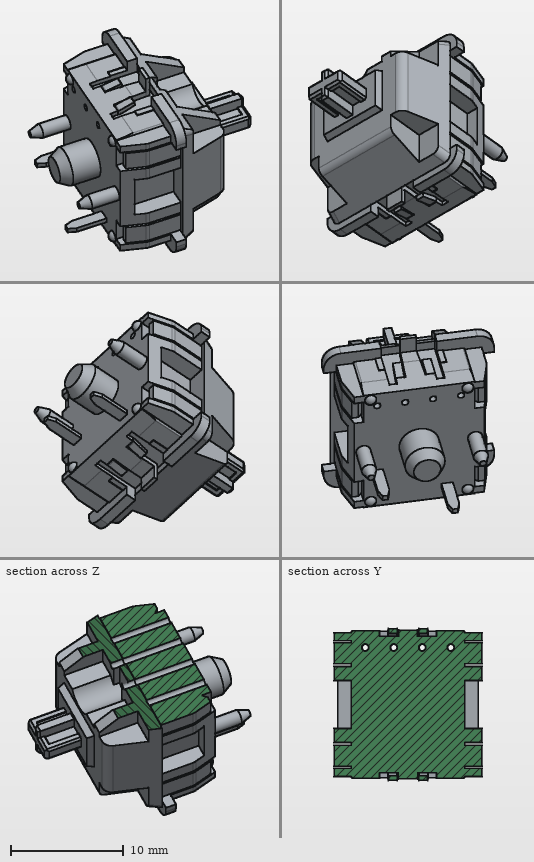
import cadquery as cq
import math


SIDE_PEG_SPACING = 10.16
GRID = SIDE_PEG_SPACING / 8

FLANGE_SIZE = 15.48
FLANGE_THICKNESS = 0.98
FLANGE_CORNER_RADIUS = 1.54
FLANGE_SIDE_GAP = 11.35

SHELL_DEPTH = 5.65
BOTTOM_Y = -SHELL_DEPTH
SHELL_HALF_WIDTH = 6.6
SHELL_BOTTOM_HALF_WIDTH = 5.9
SHELL_TAPER_Y = -3.28
SHELL_TAPER_RADIUS = 1.11
SHELL_HALF_HEIGHT = 6.41

PANEL_HALF_WIDTH = 5.06
PANEL_TOP_Z = 6.58
PANEL_BOTTOM_Z = 6.47
PANEL_SLOPE_Y = -3.93
PANEL_EDGE_RADIUS = 0.17
PANEL_SLOPE = (PANEL_TOP_Z - PANEL_BOTTOM_Z) / (PANEL_SLOPE_Y - BOTTOM_Y)

PAD_HALF_WIDTH = 3.08
PAD_TOP_Z = 6.65
PAD_END_Y = -2.63

CLIP_POCKET_HALF_WIDTH = 2.52
CLIP_POCKET_END_Y = -4.67
CLIP_FLOOR_Z = 6.1
TAB_SPAN = 16.52
TAB_TOP_Z = TAB_SPAN / 2
TAB_FRONT_Y = -0.69
TAB_BACK_Y = -0.32
FINGER_KNEE_Y = -2.02
FINGER_BASE_HALF_WIDTH = 0.89
UPPER_TAB_HALF_WIDTH = 0.72
LOWER_TAB_HALF_WIDTH = 0.89
FINGER_ROOT_HALF_WIDTH = 1.8
FINGER_SHOULDER_HALF_WIDTH = 1.78

TOOTH_BACK_Y = -2.17
TOOTH_BACK_Z = 6.53
TOOTH_ROOT_Y = -3.63
TOOTH_PEAK_Y = -2.28
TOOTH_END_Y = -3.8
TOOTH_PEAK_Z = 6.93
TOOTH_END_Z = 6.56
TOOTH_WIDTH = 0.8
TOOTH_INNER_X = 0.9
TOOTH_DRAFT = 0.1

SIDE_CUT_X = 5.06
SIDE_RECESS_HALF_HEIGHT = 2.13
SIDE_RECESS_END_Y = -4.41
CLIP_ARM_BOTTOM_Z = 3.62
CLIP_ARM_TOP_Z = 5.5
CLIP_ARM_CELL_BOTTOM_Z = 3.4
CLIP_ARM_CELL_TOP_Z = FLANGE_SIDE_GAP / 2
CLIP_ARM_END_Y = -5.15
CLIP_ARM_BEVEL = 0.39

PEG_TAPER_Y = -8.35
PEG_END_Y = -9.36
CENTRE_PEG_RADIUS = 1.82
CENTRE_PEG_TIP_RADIUS = 1.22
SIDE_PEG_X = SIDE_PEG_SPACING / 2
SIDE_PEG_RADIUS = 0.67
SIDE_PEG_TIP_RADIUS = 0.3

FOOT_RADIUS = 0.54
FOOT_X = 4.41
FOOT_Z = 5.85
FOOT_SINK = 0.11
FOOT_CENTRE_Y = BOTTOM_Y + FOOT_SINK

LAMP_HOLE_RADIUS = 0.3
LAMP_Z = 4 * GRID
INNER_LAMP_X = GRID
OUTER_LAMP_X = 3 * GRID

LID_HEIGHT = 4.97
LID_BASE_HALF = 6.97
LID_FRAME_HEIGHT = 1.2
LID_TOP_HALF_WIDTH = 5.56
LID_SIDE_RADIUS = 0.93
LID_TOP_UPPER_Z = 3.99
LID_TOP_LOWER_Z = 5.25
LID_LOWER_RADIUS = 0.7
LID_FRAME_CORNER_RADIUS = 0.7
CORE_HALF_HEIGHT = 3.41
RIB_OUTER_X = 4.32
RIB_INNER_X = 3.23
LAMP_GROOVE_RADIUS = 1.75
LAMP_GROOVE_HALF_WIDTH = 1.52
LAMP_NOTCH_WIDTH = 1.76
LAMP_NOTCH_FLOOR_Y = 0.63

COLLAR_HEIGHT = 0.69
COLLAR_BASE = (6.53, 4.56)
COLLAR_TOP = (6.15, 4.08)
STEM_TOP_Y = 9.18
ARM_LENGTH = 3.95
ARM_HALF_LENGTH = ARM_LENGTH / 2
ARM_HALF_THICKNESS = 0.7
ARM_SIDE_BEVEL = (0.19, 0.2)
ARM_END_BEVEL = (0.26, 0.35)
BLADE_HALF_WIDTH = 0.37
BLADE_HALF_HEIGHT = 1.63
TOP_BEVEL = (0.22, 0.25)
BLADE_SIDE_BEVEL = 0.2
STEM_POCKET_HALF_WIDTH = 1.35
STEM_POCKET_END_Y = 8.53
STEM_POCKET_DEPTH = 0.15

CONTACT_WIDTH = 1.04
CONTACT_TIP_WIDTH = 0.48
CONTACT_THICKNESS = 0.48
CONTACT_TAPER_Y = -8.58
CONTACT_PLACES = [(-3 * GRID, -2 * GRID), (2 * GRID, -4 * GRID)]


def box(x_range, y_range, z_range):
    """Box between the given limits along each axis."""
    size = [high - low for low, high in (x_range, y_range, z_range)]
    corner = (x_range[0], y_range[0], z_range[0])
    return cq.Workplane("XY").box(*size, centered=False).translate(corner)


def prism_along_z(points, z_low, z_high):
    """Extrude an (x, y) outline from z_low to z_high."""
    return cq.Workplane("XY").workplane(offset=z_low).polyline(points).close().extrude(z_high - z_low)


def prism_along_x(points, half_width):
    """Extrude a (y, z) outline to both sides of x = 0."""
    return cq.Workplane("YZ").polyline(points).close().extrude(half_width, both=True)


def rod(x, z, radius, y_start, y_end):
    """Cylinder along Y."""
    disc = cq.Workplane("XZ", origin=(x, y_start, z)).circle(radius)
    return disc.extrude(y_start - y_end)


def mirrored_outline(right_half):
    """Outline symmetric about x = 0, from the points of its right half."""
    return right_half + [(-x, y) for x, y in reversed(right_half)]


def both_sides(solid, plane):
    """A feature together with its mirror image."""
    return solid.union(solid.mirror(plane))


def lower_shell():
    outline = mirrored_outline([
        (SHELL_HALF_WIDTH, 0),
        (SHELL_HALF_WIDTH, SHELL_TAPER_Y),
        (SHELL_BOTTOM_HALF_WIDTH, BOTTOM_Y),
    ])
    shell = prism_along_z(outline, -SHELL_HALF_HEIGHT, SHELL_HALF_HEIGHT)
    taper_edges = shell.edges("|Z").edges("(not <Y) and (not >Y)")
    return taper_edges.fillet(SHELL_TAPER_RADIUS)


def flange():
    plate = cq.Workplane("XZ").rect(FLANGE_SIZE, FLANGE_SIZE).extrude(FLANGE_THICKNESS)
    plate = plate.edges("|Y").fillet(FLANGE_CORNER_RADIUS)
    side_gap = box(
        (SHELL_HALF_WIDTH, FLANGE_SIZE), (-FLANGE_THICKNESS, 0),
        (-FLANGE_SIDE_GAP / 2, FLANGE_SIDE_GAP / 2),
    )
    return plate.cut(both_sides(side_gap, "YZ"))


def end_panel():
    """Raised panel on the +Z end wall, with its two thin pads."""
    profile = [
        (0, 0),
        (0, PANEL_TOP_Z),
        (PANEL_SLOPE_Y, PANEL_TOP_Z),
        (BOTTOM_Y, PANEL_BOTTOM_Z),
        (BOTTOM_Y, 0),
    ]
    panel = box((-PANEL_HALF_WIDTH, PANEL_HALF_WIDTH), (BOTTOM_Y, 0), (0, PANEL_TOP_Z))
    panel = panel.edges("|Y and >Z").fillet(PANEL_EDGE_RADIUS)
    panel = panel.intersect(prism_along_x(profile, PANEL_HALF_WIDTH))
    pads = box((-PAD_HALF_WIDTH, PAD_HALF_WIDTH), (PAD_END_Y, 0), (0, PAD_TOP_Z))
    return panel.union(pads)


def clip_pocket():
    """Recess in the +Z end wall that also opens the flange."""
    return box(
        (-CLIP_POCKET_HALF_WIDTH, CLIP_POCKET_HALF_WIDTH),
        (CLIP_POCKET_END_Y, 0),
        (CLIP_FLOOR_Z, FLANGE_SIZE),
    )


def panel_plane_z(y):
    """Height of the sloped part of the end panel, extended to any y."""
    return PANEL_TOP_Z + PANEL_SLOPE * (y - PANEL_SLOPE_Y)


def clip_finger(tab_half_width):
    """Finger with an upright tab, standing in the clip pocket."""
    knee_z = panel_plane_z(FINGER_KNEE_Y)
    profile = [
        (TAB_BACK_Y, 0),
        (TAB_BACK_Y, TAB_TOP_Z),
        (TAB_FRONT_Y, TAB_TOP_Z),
        (TAB_FRONT_Y, knee_z),
        (FINGER_KNEE_Y, knee_z),
        (CLIP_POCKET_END_Y, panel_plane_z(CLIP_POCKET_END_Y)),
        (CLIP_POCKET_END_Y, 0),
    ]
    outline = mirrored_outline([
        (tab_half_width, TAB_BACK_Y),
        (tab_half_width, TAB_FRONT_Y),
        (FINGER_BASE_HALF_WIDTH, PANEL_SLOPE_Y),
        (FINGER_SHOULDER_HALF_WIDTH, PANEL_SLOPE_Y),
        (FINGER_ROOT_HALF_WIDTH, CLIP_POCKET_END_Y),
    ])
    finger = prism_along_x(profile, CLIP_POCKET_HALF_WIDTH)
    return finger.intersect(prism_along_z(outline, 0, TAB_TOP_Z))


def latch_teeth():
    """Two ramped teeth beside the clip finger, free at their raised back ends."""
    profile = [
        (TOOTH_ROOT_Y, 0),
        (TOOTH_ROOT_Y, CLIP_FLOOR_Z),
        (TOOTH_BACK_Y, TOOTH_BACK_Z),
        (TOOTH_PEAK_Y, TOOTH_PEAK_Z),
        (TOOTH_END_Y, TOOTH_END_Z),
        (PANEL_SLOPE_Y, TOOTH_END_Z),
        (PANEL_SLOPE_Y, 0),
    ]
    outline = [
        (TOOTH_INNER_X, FINGER_KNEE_Y),
        (TOOTH_INNER_X + TOOTH_WIDTH, FINGER_KNEE_Y),
        (TOOTH_INNER_X + TOOTH_WIDTH + TOOTH_DRAFT, PANEL_SLOPE_Y),
        (TOOTH_INNER_X + TOOTH_DRAFT, PANEL_SLOPE_Y),
    ]
    ramp = prism_along_x(profile, CLIP_POCKET_HALF_WIDTH)
    tooth = ramp.intersect(prism_along_z(outline, 0, TOOTH_PEAK_Z))
    return both_sides(tooth, "YZ")


def side_cuts():
    """Centre recess and the slots around the two clip arms, on all four quarters."""
    recess = box(
        (SIDE_CUT_X, SHELL_HALF_WIDTH), (SIDE_RECESS_END_Y, 0),
        (-SIDE_RECESS_HALF_HEIGHT, SIDE_RECESS_HALF_HEIGHT),
    )
    x_range = (SIDE_CUT_X, SHELL_HALF_WIDTH)
    y_range = (BOTTOM_Y, 0)
    upper_slot = box(x_range, y_range, (CLIP_ARM_TOP_Z, CLIP_ARM_CELL_TOP_Z))
    lower_slot = box(x_range, y_range, (CLIP_ARM_CELL_BOTTOM_Z, CLIP_ARM_BOTTOM_Z))
    arm_end_outline = [
        (SIDE_CUT_X, BOTTOM_Y),
        (SIDE_CUT_X, CLIP_ARM_END_Y + CLIP_ARM_BEVEL),
        (SIDE_CUT_X + CLIP_ARM_BEVEL, CLIP_ARM_END_Y),
        (SHELL_HALF_WIDTH, CLIP_ARM_END_Y),
        (SHELL_HALF_WIDTH, BOTTOM_Y),
    ]
    arm_end = prism_along_z(arm_end_outline, CLIP_ARM_CELL_BOTTOM_Z, CLIP_ARM_CELL_TOP_Z)
    arm_cuts = both_sides(upper_slot.union(lower_slot).union(arm_end), "XY")
    return both_sides(recess.union(arm_cuts), "YZ")


def peg(x, radius, tip_radius):
    """Round locating peg with a conical tip, standing on the bottom face."""
    profile = [
        (0, BOTTOM_Y),
        (radius, BOTTOM_Y),
        (radius, PEG_TAPER_Y),
        (tip_radius, PEG_END_Y),
        (0, PEG_END_Y),
    ]
    return cq.Workplane("XY").polyline(profile).close().revolve().translate((x, 0, 0))


def feet():
    """Four ball-shaped standoffs under the lower housing."""
    plane = cq.Workplane("XZ", origin=(0, FOOT_CENTRE_Y, 0))
    corners = plane.rect(2 * FOOT_X, 2 * FOOT_Z, forConstruction=True)
    return corners.vertices().sphere(FOOT_RADIUS)


def build_lower_housing():
    panel = end_panel()
    body = lower_shell().union(flange()).union(both_sides(panel, "XY"))
    body = body.cut(both_sides(clip_pocket(), "XY"))
    teeth = latch_teeth()
    body = body.union(both_sides(teeth, "XY"))
    body = body.union(clip_finger(UPPER_TAB_HALF_WIDTH))
    body = body.union(clip_finger(LOWER_TAB_HALF_WIDTH).mirror("XY"))
    body = body.cut(side_cuts())
    body = body.union(peg(0, CENTRE_PEG_RADIUS, CENTRE_PEG_TIP_RADIUS))
    for x in (-SIDE_PEG_X, SIDE_PEG_X):
        body = body.union(peg(x, SIDE_PEG_RADIUS, SIDE_PEG_TIP_RADIUS))
    body = body.union(feet())
    for x in (-OUTER_LAMP_X, -INNER_LAMP_X, INNER_LAMP_X, OUTER_LAMP_X):
        body = body.cut(rod(x, LAMP_Z, LAMP_HOLE_RADIUS, 0, BOTTOM_Y))
    return body


def lid_side_planes():
    """Wedge between the left and right slopes, rounded at the top."""
    outline = mirrored_outline([
        (LID_BASE_HALF, 0),
        (LID_TOP_HALF_WIDTH, LID_HEIGHT),
    ])
    wedge = prism_along_z(outline, -LID_BASE_HALF, LID_BASE_HALF)
    return wedge.edges("|Z and >Y").fillet(LID_SIDE_RADIUS)


def lid_end_planes(top_upper_z):
    """Wedge between the +Z and -Z slopes."""
    profile = [
        (0, -LID_BASE_HALF),
        (LID_HEIGHT, -LID_TOP_LOWER_Z),
        (LID_HEIGHT, top_upper_z),
        (0, LID_BASE_HALF),
    ]
    return prism_along_x(profile, LID_BASE_HALF)


def lid_frame(steep_wedge):
    """Frame with four rounded corners, trimmed by the steep +Z slope."""
    wide = (-LID_BASE_HALF, LID_BASE_HALF)
    even_hull = lid_side_planes().intersect(lid_end_planes(LID_TOP_LOWER_Z))
    frame = even_hull.intersect(box(wide, (0, LID_FRAME_HEIGHT), wide))
    corner_edges = frame.edges("not(|X or |Z)")
    return corner_edges.fillet(LID_FRAME_CORNER_RADIUS).intersect(steep_wedge)


def lid_tower(steep_wedge):
    """Core and ribs that stand on the frame."""
    wide = (-LID_BASE_HALF, LID_BASE_HALF)
    tower_y = (LID_FRAME_HEIGHT, LID_HEIGHT)
    rounded_wedge = steep_wedge.faces(">Y").edges("<Z").fillet(LID_LOWER_RADIUS)
    hull = lid_side_planes().intersect(rounded_wedge)
    core = box(wide, tower_y, (-CORE_HALF_HEIGHT, CORE_HALF_HEIGHT))
    ribs = box((-RIB_OUTER_X, RIB_OUTER_X), tower_y, wide)
    rib_gap = box((-RIB_INNER_X, RIB_INNER_X), tower_y, (CORE_HALF_HEIGHT, LID_BASE_HALF))
    return hull.intersect(core.union(ribs)).cut(rib_gap)


def lamp_groove():
    """Round groove in the core, with a narrow notch that continues into the frame."""
    centre_z = CORE_HALF_HEIGHT + math.sqrt(LAMP_GROOVE_RADIUS**2 - LAMP_GROOVE_HALF_WIDTH**2)
    groove = rod(0, centre_z, LAMP_GROOVE_RADIUS, LID_HEIGHT, LAMP_NOTCH_FLOOR_Y)
    mouth_y = (LAMP_NOTCH_FLOOR_Y, LID_HEIGHT)
    notch_x = (-LAMP_NOTCH_WIDTH / 2, LAMP_NOTCH_WIDTH / 2)
    groove = groove.union(box(notch_x, mouth_y, (centre_z, LID_BASE_HALF)))
    wide = (-LID_BASE_HALF, LID_BASE_HALF)
    above_frame = box(wide, (LID_FRAME_HEIGHT, LID_HEIGHT), wide)
    notch = box(notch_x, mouth_y, wide)
    return groove.intersect(above_frame.union(notch))


def build_upper_housing():
    steep_wedge = lid_end_planes(LID_TOP_UPPER_Z)
    body = lid_frame(steep_wedge).union(lid_tower(steep_wedge)).cut(lamp_groove())
    for x in (-INNER_LAMP_X, INNER_LAMP_X):
        body = body.cut(rod(x, LAMP_Z, LAMP_HOLE_RADIUS, LID_FRAME_HEIGHT, 0))
    return body


def stem_collar():
    base = cq.Workplane("XZ", origin=(0, LID_HEIGHT, 0)).rect(*COLLAR_BASE)
    return base.workplane(offset=-COLLAR_HEIGHT).rect(*COLLAR_TOP).loft()


def beveled_slab(half_height, start_y):
    """Slab across X whose two long top edges are beveled."""
    bevel_z, bevel_y = TOP_BEVEL
    profile = [
        (start_y, -half_height),
        (STEM_TOP_Y - bevel_y, -half_height),
        (STEM_TOP_Y, bevel_z - half_height),
        (STEM_TOP_Y, half_height - bevel_z),
        (STEM_TOP_Y - bevel_y, half_height),
        (start_y, half_height),
    ]
    return prism_along_x(profile, ARM_HALF_LENGTH)


def beveled_bar(half_height, half_width, bevel, start_y):
    """Bar along Y, beveled along all four top edges; bevel is given along X and Y."""
    bevel_x, bevel_y = bevel
    outline = mirrored_outline([
        (half_width, start_y),
        (half_width, STEM_TOP_Y - bevel_y),
        (half_width - bevel_x, STEM_TOP_Y),
    ])
    return beveled_slab(half_height, start_y).intersect(prism_along_z(outline, -half_height, half_height))


def stem_arm(start_y):
    """Wide bar of the cross, with beveled ends and two shallow pockets."""
    bevel_x, bevel_z = ARM_SIDE_BEVEL
    corners = [
        (ARM_HALF_LENGTH, ARM_HALF_THICKNESS - bevel_z),
        (ARM_HALF_LENGTH - bevel_x, ARM_HALF_THICKNESS),
    ]
    upper_half = mirrored_outline(corners)
    lower_half = [(x, -z) for x, z in reversed(upper_half)]
    section = cq.Workplane("XZ", origin=(0, STEM_TOP_Y, 0)).polyline(upper_half + lower_half).close()
    arm = beveled_bar(ARM_HALF_THICKNESS, ARM_HALF_LENGTH, ARM_END_BEVEL, start_y)
    arm = arm.intersect(section.extrude(STEM_TOP_Y - start_y))
    pocket = box(
        (-STEM_POCKET_HALF_WIDTH, STEM_POCKET_HALF_WIDTH), (start_y, STEM_POCKET_END_Y),
        (ARM_HALF_THICKNESS - STEM_POCKET_DEPTH, ARM_HALF_THICKNESS),
    )
    return arm.cut(both_sides(pocket, "XY"))


def build_stem():
    collar_top_y = LID_HEIGHT + COLLAR_HEIGHT
    blade_bevel = (BLADE_SIDE_BEVEL, TOP_BEVEL[1])
    blade = beveled_bar(BLADE_HALF_HEIGHT, BLADE_HALF_WIDTH, blade_bevel, collar_top_y)
    return stem_collar().union(stem_arm(collar_top_y)).union(blade)


def build_contact(x, z):
    """Flat contact pin with a tapered tip, standing on the bottom face."""
    outline = mirrored_outline([
        (CONTACT_WIDTH / 2, BOTTOM_Y),
        (CONTACT_WIDTH / 2, CONTACT_TAPER_Y),
        (CONTACT_TIP_WIDTH / 2, PEG_END_Y),
    ])
    pin = prism_along_z(outline, -CONTACT_THICKNESS / 2, CONTACT_THICKNESS / 2)
    return pin.translate((x, 0, z))


lower_housing = build_lower_housing()
upper_housing = build_upper_housing()
stem = build_stem()
contacts = [build_contact(x, z) for x, z in CONTACT_PLACES]
result = cq.Compound.makeCompound(
    [lower_housing.val(), upper_housing.val(), stem.val(), *[contact.val() for contact in contacts]]
)